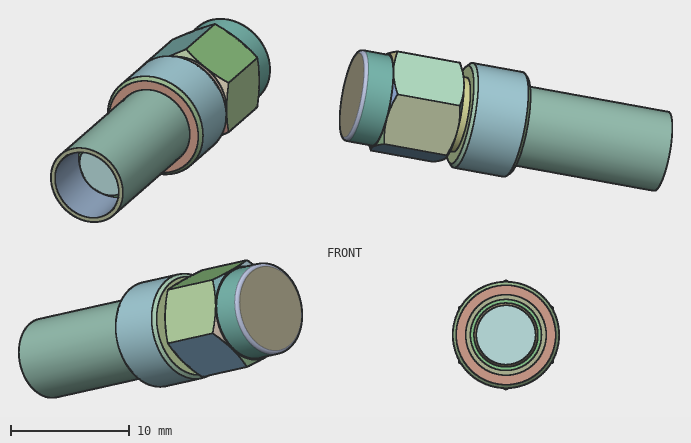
import cadquery as cq
import math

total_length = 27.2

nose_radius = 3.9
nose_length = 2.5
nose_edge_round = 0.3
hex_sides = 6
hex_across_flats = 8.0
hex_length = 6.2
hex_chamfer_angle = 30.0

neck_radius = 3.2
neck_length = 0.8
collar_radius = 4.5
collar_length = 5.0
collar_chamfer = 0.3

sleeve_radius = 3.4
bore_radius = 3.0
plug_tip_depth = 3.7
plug_length = 0.8
plug_base_radius = 2.7
plug_tip_radius = 2.5

hex_end = total_length - nose_length
hex_start = hex_end - hex_length
collar_end = hex_start - neck_length
collar_start = collar_end - collar_length


def cylinder(radius, start, length):
    """Solid cylinder about the Y axis, from start towards +Y."""
    return cq.Workplane("XZ", origin=(0, start, 0)).circle(radius).extrude(-length)


def make_nose():
    nose = cylinder(nose_radius, hex_end, nose_length)
    return nose.faces(">Y").edges().fillet(nose_edge_round)


def make_hex():
    """Hexagon with corners on +Z and -Z, its corners turned back at both ends."""
    flat_radius = hex_across_flats / 2
    corner_radius = flat_radius / math.cos(math.pi / hex_sides)
    chamfer_length = (corner_radius - flat_radius) * math.tan(math.radians(hex_chamfer_angle))
    prism = (
        cq.Workplane("XZ", origin=(0, hex_start, 0))
        .transformed(rotate=(0, 0, 90))
        .polygon(hex_sides, 2 * corner_radius)
        .extrude(-hex_length)
    )
    envelope = (
        cq.Workplane("XY")
        .moveTo(0, hex_start)
        .lineTo(flat_radius, hex_start)
        .lineTo(corner_radius, hex_start + chamfer_length)
        .lineTo(corner_radius, hex_end - chamfer_length)
        .lineTo(flat_radius, hex_end)
        .lineTo(0, hex_end)
        .close()
        .revolve(360, (0, 0, 0), (0, 1, 0))
    )
    return prism.intersect(envelope)


def make_collar():
    collar = cylinder(collar_radius, collar_start, collar_length)
    return collar.edges("%CIRCLE").chamfer(collar_chamfer)


def make_bore():
    """Space inside the sleeve: a blind bore whose floor carries the tapered plug."""
    floor_depth = plug_tip_depth + plug_length
    return (
        cq.Workplane("XY")
        .lineTo(bore_radius, 0)
        .lineTo(bore_radius, floor_depth)
        .lineTo(plug_base_radius, floor_depth)
        .lineTo(plug_tip_radius, plug_tip_depth)
        .lineTo(0, plug_tip_depth)
        .close()
        .revolve(360, (0, 0, 0), (0, 1, 0))
    )


result = (
    cylinder(sleeve_radius, 0, collar_start)
    .union(make_collar())
    .union(cylinder(neck_radius, collar_end, neck_length))
    .union(make_hex())
    .union(make_nose())
    .cut(make_bore())
)